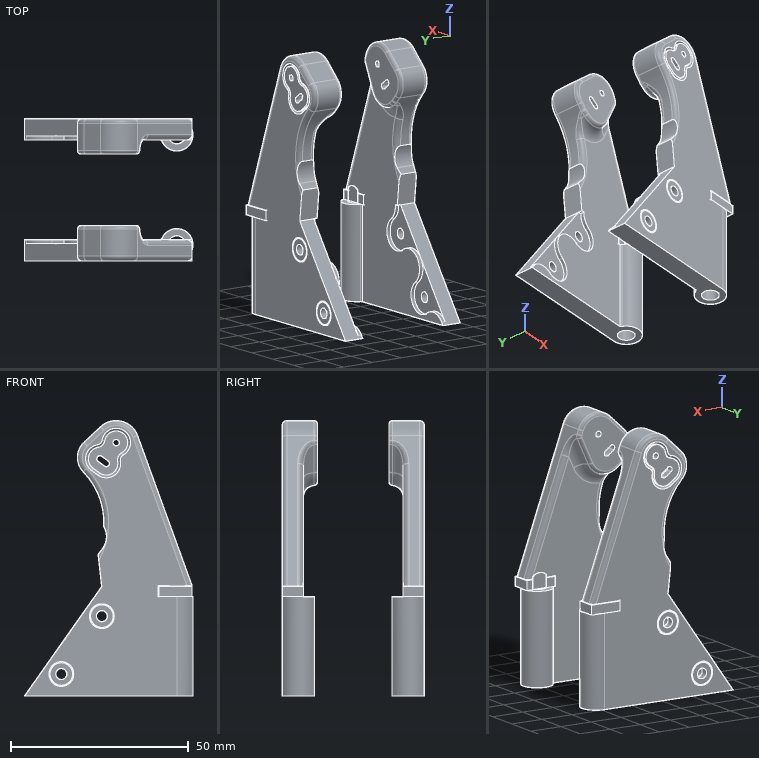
import cadquery as cq
import math

total_width = 40.0
plate_thickness = 6.0
head_thickness = 10.0

shoulder = (21.7, 30.7)
tip_bottom = (20.7, 39.8)
tip_top = (22.0, 41.5)
notch_middle = (23.0, 44.3)
notch_top = (22.3, 47.6)
back_edge = 47.15
slot_top = 31

crown_center = (25.8, 71.0)
crown_radius = 77.4 - crown_center[1]
nose_center = (20.7, 67.0)
nose_radius = 5.8
throat_center = (1.9, 48.8)
throat_radius = 20.35
throat_end_angle = -37
outer_rounding = 1.4
plate_inner_rounding = 1.6
head_inner_rounding = 1.0

boss_center = (23.0, 65.3)
boss_radius = 6.2
boss_top_radius = 6.0
boss_flare = 3.25

screw_hole = (25.8, 71.2)
screw_diameter = 1.7
slot_start = (21.2, 66.65)
slot_end = (23.0, 65.3)
cover_margin = 3.25
rim_margin = 4.0
neck_radius = 2.3
rim_depth = 0.8
cover_thickness = 2.3

bushing_places = [(10.4, 6.2), (21.75, 22.45)]
bushing_diameter = 6.35
bushing_seat_diameter = 7
bushing_bore = 3.0
bushing_length = 2.3

recess_depth = 1.15
lobe_radius = 4.8

barrel_radius = 4.6
barrel_bore = 4.95
barrel_x = 42.8
barrel_top = 27.95
barrel_wedge = 0.5

bar_start = 37.8
bar_clearance = 0.15
stop_half_width = 2.25
stop_shoulder = 31.65
stop_top = 32.6
stop_thickness = 1.55
stop_inset = 0.15


margin = 0.8


def xz(y=0):
    """Workplane with local axes X and Z whose extrusion runs towards +Y from the given Y."""
    return cq.Workplane(cq.Plane(origin=(0, y, 0), xDir=(1, 0, 0), normal=(0, -1, 0)))


def prism(sketch, y_start, y_end):
    """Extrude a closed outline drawn in X and Z between two Y positions."""
    return sketch.extrude(-(y_end - y_start))


def on_circle(center, radius, angle):
    """Point on a circle, angle in degrees."""
    a = math.radians(angle)
    return (center[0] + radius * math.cos(a), center[1] + radius * math.sin(a))


def direction(start, end):
    """Angle in degrees of the line from start to end."""
    return math.degrees(math.atan2(end[1] - start[1], end[0] - start[0]))


def tangent_angle(c1, r1, c2, r2, side):
    """Direction in degrees from each centre to its tangent point on an outer common tangent."""
    return direction(c1, c2) + side * math.degrees(math.acos((r1 - r2) / math.dist(c1, c2)))


def base_outline():
    """Side outline before the grip notch is cut: crown, nose and throat arcs run tangentially."""
    back_corner = (back_edge, slot_top)
    back_angle = tangent_angle(crown_center, crown_radius, back_corner, 0, 1)
    crown_angle = tangent_angle(nose_center, nose_radius, crown_center, crown_radius, 1)
    throat_angle = direction(throat_center, nose_center)
    return (
        xz()
        .lineTo(back_edge, 0)
        .lineTo(*back_corner)
        .lineTo(*on_circle(crown_center, crown_radius, back_angle))
        .threePointArc(
            on_circle(crown_center, crown_radius, (back_angle + crown_angle) / 2),
            on_circle(crown_center, crown_radius, crown_angle),
        )
        .lineTo(*on_circle(nose_center, nose_radius, crown_angle))
        .threePointArc(
            on_circle(nose_center, nose_radius, (crown_angle + throat_angle + 180) / 2),
            on_circle(throat_center, throat_radius, throat_angle),
        )
        .threePointArc(
            on_circle(throat_center, throat_radius, (throat_angle + throat_end_angle) / 2),
            on_circle(throat_center, throat_radius, throat_end_angle),
        )
        .lineTo(*shoulder)
        .close()
    )


def boss_surround():
    """Space around the boss above the plate face; its rounded foot leaves the concave flare."""
    reach = 31
    right = tangent_angle(boss_center, boss_radius, crown_center, boss_top_radius, -1)
    left = direction(boss_center, nose_center) + 90
    right_start = on_circle(boss_center, boss_radius, right)
    left_start = on_circle(boss_center, boss_radius, left)
    boss = prism(
        xz(plate_thickness)
        .moveTo(*left_start)
        .threePointArc(on_circle(boss_center, boss_radius, (left + right - 360) / 2), right_start)
        .lineTo(*on_circle(right_start, reach, right + 90))
        .lineTo(*on_circle(left_start, reach, left - 90))
        .close(),
        plate_thickness,
        head_thickness + margin,
    )
    block = prism(
        xz(plate_thickness).rect(4 * back_edge, 4 * crown_center[1]),
        plate_thickness,
        head_thickness + margin,
    )
    foot = block.cut(boss).faces("<Y").edges("not (<X or >X or <Z or >Z)")
    return foot.fillet(boss_flare)


def grip_notch():
    """Finger notch in the front edge, down to the shoulder."""
    clear_x = shoulder[0] - 11.6
    return prism(
        xz()
        .moveTo(*notch_top)
        .threePointArc(notch_middle, tip_top)
        .lineTo(*tip_bottom)
        .lineTo(*shoulder)
        .lineTo(clear_x, shoulder[1])
        .lineTo(clear_x, notch_top[1])
        .close(),
        0,
        head_thickness,
    )


def edge_at(place, y):
    """Selector for the edge nearest to a place given in X and Z, at one Y position."""
    return cq.selectors.NearestToPointSelector((place[0], y, place[1]))


def rounded_plate():
    """Plate and head with all long edges above the slot rounded, and the notch cut through them."""
    throat_middle = on_circle(throat_center, throat_radius, 0)
    back_middle = ((back_edge + crown_center[0] + crown_radius) / 2, (slot_top + crown_center[1]) / 2)
    body = prism(base_outline(), 0, head_thickness).cut(boss_surround())
    for middle in (throat_middle, back_middle):
        body = body.edges(edge_at(middle, plate_thickness)).fillet(plate_inner_rounding)
    body = body.faces(">Y").edges().fillet(head_inner_rounding)
    body = body.edges(edge_at(back_middle, 0)).fillet(outer_rounding)
    return body.cut(grip_notch())


def capsule(start, end, radius, y_start, y_end):
    """Slot-shaped block between two end centres."""
    middle = ((start[0] + end[0]) / 2, (start[1] + end[1]) / 2)
    length = math.dist(start, end) + 2 * radius
    outline = xz(y_start).center(*middle).transformed(rotate=(0, 0, direction(start, end)))
    return prism(outline.slot2D(length, 2 * radius), y_start, y_end)


def cylinder(center, diameter, y_start, y_end):
    return prism(xz(y_start).moveTo(*center).circle(diameter / 2), y_start, y_end)


def keyhole(offset, y_start, y_end):
    """Block reaching one offset beyond the screw hole and slot centres.

    Two larger lobes are joined and shrunk to the offset, which rounds the necks between them.
    """
    lobe = cover_margin + neck_radius
    lobes = cylinder(screw_hole, 2 * lobe, y_start, y_end).union(
        capsule(slot_start, slot_end, lobe, y_start, y_end)
    )
    outline = lobes.faces("<Y").wires().toPending().offset2D(offset - lobe)
    return outline.extrude(y_start - y_end, combine=False)


def cover_rim():
    slope = rim_margin - cover_margin
    return keyhole(rim_margin, -margin, rim_depth).faces(">Y").chamfer(rim_depth, slope)


def head_holes():
    return cylinder(screw_hole, screw_diameter, 0, head_thickness).union(
        capsule(slot_start, slot_end, screw_diameter / 2, 0, head_thickness)
    )


def bushing_recess():
    """Recess of two lobes round the bushing holes, waving out to touch the sloping edge."""
    lower, upper = bushing_places
    slope = direction((0, 0), shoulder)
    turn = math.radians(slope)
    half_pitch = math.dist(lower, upper) / 2
    first = lower[0] * math.cos(turn) + lower[1] * math.sin(turn)
    depth = lower[0] * math.sin(turn) - lower[1] * math.cos(turn)
    wave_radius = (half_pitch**2 + depth**2 - lobe_radius**2) / (2 * (depth + lobe_radius))
    share = lobe_radius / (lobe_radius + wave_radius)
    join_side = share * half_pitch
    join_depth = depth + share * (wave_radius - depth)
    half_turn = math.acos((wave_radius - join_depth) / wave_radius) / 2
    wave_side = half_pitch - wave_radius * math.sin(half_turn)
    wave_depth = wave_radius * (1 - math.cos(half_turn))

    start = first - half_pitch
    end = first + 3 * half_pitch
    outline = xz(plate_thickness).transformed(rotate=(0, 0, slope)).moveTo(start, 0)
    for center in (first, first + 2 * half_pitch):
        outline = (
            outline.threePointArc((center - wave_side, -wave_depth), (center - join_side, -join_depth))
            .threePointArc((center, -depth - lobe_radius), (center + join_side, -join_depth))
            .threePointArc((center + wave_side, -wave_depth), (center + half_pitch, 0))
        )
    waves = outline.lineTo(end, margin).lineTo(start, margin).close().extrude(recess_depth)
    return waves.intersect(box(0, back_edge, 0, plate_thickness, 0, shoulder[1]))


def barrel_at(radius, height):
    return cq.Workplane("XY").center(barrel_x, barrel_radius).circle(radius).extrude(height)


def barrel():
    """Solid round back edge with a small straight wedge along its front side."""
    wedge_x = barrel_x - math.sqrt(barrel_radius**2 - (plate_thickness - barrel_radius) ** 2)
    wedge = (
        cq.Workplane("XY")
        .moveTo(wedge_x - barrel_wedge / 2, plate_thickness)
        .lineTo(wedge_x + barrel_wedge / 2, plate_thickness + barrel_wedge)
        .lineTo(barrel_x, plate_thickness)
        .close()
        .extrude(barrel_top)
    )
    return barrel_at(barrel_radius, barrel_top).union(wedge)


def box(x0, x1, y0, y1, z0, z1):
    return cq.Workplane("XY").box(x1 - x0, y1 - y0, z1 - z0, centered=False).translate((x0, y0, z0))


def stop_tongue(start, end):
    """Round-topped tongue outline above the barrel bore, between two Y positions."""
    left = barrel_x - stop_half_width
    right = barrel_x + stop_half_width
    return prism(
        xz(start)
        .moveTo(left, barrel_top)
        .lineTo(right, barrel_top)
        .lineTo(right, stop_shoulder)
        .threePointArc((barrel_x, stop_top), (left, stop_shoulder))
        .close(),
        start,
        end,
    )


def make_plate():
    body = rounded_plate()
    body = body.cut(box(barrel_x, back_edge + margin, 0, head_thickness, 0, barrel_top)).union(barrel())
    body = body.cut(barrel_at(barrel_bore / 2, barrel_top))
    slot = box(bar_start - bar_clearance, back_edge + margin, 0, plate_thickness, barrel_top, slot_top)
    body = body.cut(slot).cut(stop_tongue(plate_thickness - stop_thickness, plate_thickness))
    body = body.cut(bushing_recess())
    for place in bushing_places:
        body = body.cut(cylinder(place, bushing_seat_diameter, 0, bushing_length))
        body = body.cut(cylinder(place, bushing_bore, 0, plate_thickness))
    pocket = keyhole(cover_margin, 0, cover_thickness)
    return body.cut(cover_rim()).cut(pocket).cut(head_holes())


def make_stop_bar():
    bar = box(bar_start, back_edge, 0, plate_thickness, barrel_top, slot_top - bar_clearance)
    face = plate_thickness - stop_inset
    tongue = stop_tongue(plate_thickness - stop_thickness, face)
    return bar.union(tongue).cut(stop_tongue(face, plate_thickness))


def make_bushing(place):
    body = cylinder(place, bushing_diameter, 0, bushing_length)
    return body.cut(cylinder(place, bushing_bore, 0, bushing_length))


def make_cover():
    return keyhole(cover_margin, 0, cover_thickness).cut(head_holes())


side_bodies = [make_plate(), make_stop_bar(), make_cover()]
for place in bushing_places:
    side_bodies.append(make_bushing(place))

bodies = []
for body in side_bodies:
    bodies.append(body.val())
    bodies.append(body.mirror("XZ", (0, total_width / 2, 0)).val())

result = cq.Compound.makeCompound(bodies)